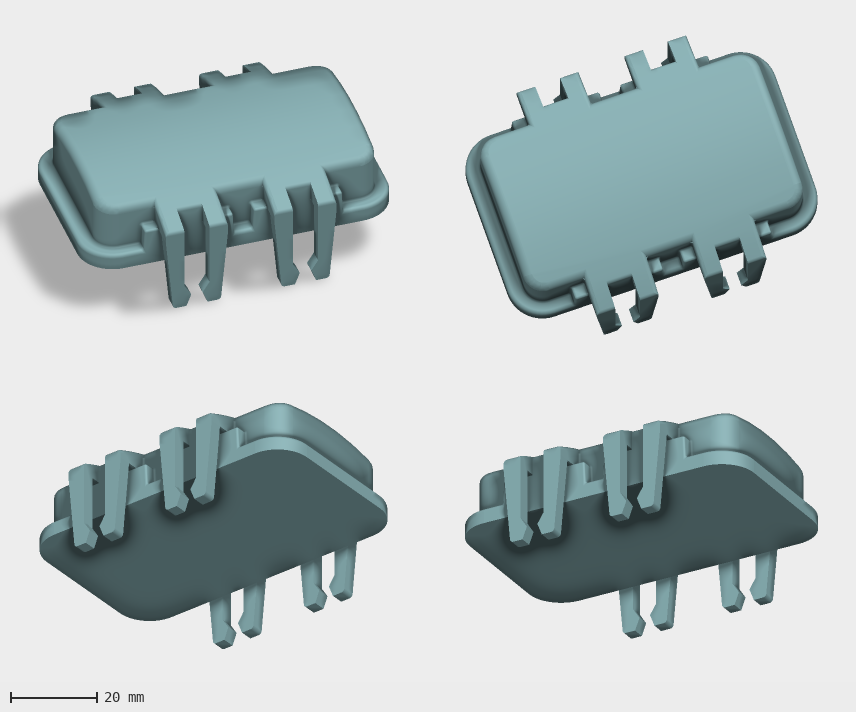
import cadquery as cq
import math

LENGTH = 75.7
FLANGE_WIDTH = 45.1
ARM_SPAN = 56.3
FLANGE_CORNER = 8.55
FLANGE_HEIGHT = 3.9
FLANGE_ROUND = 0.9

BODY_WIDTH = 38.75
BODY_LENGTH = 68.4
BODY_CORNER = 4.85
BODY_TOP_ROUND = 2.05
INNER_ROUND = 0.5

TOP_HEIGHT = 17.8
DOME_RADIUS = 68.9

BLOCK_HEIGHT = 9.45
BLOCK_NEAR_Y = 2.6
BLOCK_FAR_Y = 24.1
BLOCK_SLOPE = 0.05

ARM_Y = 13.25
ARM_WIDTH = 15.2
ARM_UNDERSIDE = 9.4
ARM_ROOT = 15.1
ARM_ROUND = 1.0
SLOT_WIDTH = 6.1

LEG_THICKNESS = 3.2
LEG_BOTTOM = -10.15
LEG_FOOT_SPAN = 11.65
HOOK_START = -4.5
HOOK_TIP = -7.1
HOOK_TIP_GAP = 2.8
FOOT_GAP = 5.15
FOOT_ROUND = 0.9

MARGIN = 0.1
HALF_FLANGE = FLANGE_WIDTH / 2
HALF_SPAN = ARM_SPAN / 2
HALF_BODY = BODY_WIDTH / 2
SIDES = (-1, 1)


def box(x_min, x_max, y_min, y_max, z_min, z_max):
    size = (x_max - x_min, y_max - y_min, z_max - z_min)
    return cq.Workplane("XY").box(*size, centered=False).translate((x_min, y_min, z_min))


def yz_prism(points, x_min, x_max):
    return cq.Workplane("YZ").polyline(points).close().extrude(x_max - x_min).translate((x_min, 0, 0))


def edges_within(shape, half_x, half_y, z_min, z_max):
    """Edges whose middle lies in a box centred on the Z axis."""
    return shape.edges(cq.selectors.BoxSelector((-half_x, -half_y, z_min), (half_x, half_y, z_max)))


dome = (
    cq.Workplane("XZ")
    .center(0, TOP_HEIGHT - DOME_RADIUS)
    .circle(DOME_RADIUS)
    .extrude(LENGTH / 2, both=True)
)


def domed(shape):
    """Shape trimmed to the part under the domed top."""
    return shape.intersect(dome)


def make_block():
    """Bar across the whole width whose ends are the blocks on the +Y half of the flange."""
    foot = FLANGE_HEIGHT - FLANGE_ROUND
    foot_spread = BLOCK_SLOPE * (BLOCK_HEIGHT - foot)
    outline = [
        (BLOCK_NEAR_Y - foot_spread, foot),
        (BLOCK_NEAR_Y, BLOCK_HEIGHT),
        (BLOCK_FAR_Y, BLOCK_HEIGHT),
        (BLOCK_FAR_Y + foot_spread, foot),
    ]
    bar = yz_prism(outline, -HALF_FLANGE, HALF_FLANGE)
    return bar.edges("not <Z").fillet(INNER_ROUND)


def make_skirt():
    """Rounded flange with its four blocks."""
    flange = (
        cq.Workplane("XY")
        .rect(FLANGE_WIDTH, LENGTH)
        .extrude(FLANGE_HEIGHT)
        .edges("|Z")
        .fillet(FLANGE_CORNER)
        .faces(">Z")
        .edges()
        .fillet(FLANGE_ROUND)
    )
    block = make_block()
    return flange.union(block).union(block.mirror("XZ"))


def make_body():
    """Round-cornered body under the dome."""
    blank = (
        cq.Workplane("XY")
        .rect(BODY_WIDTH, BODY_LENGTH)
        .extrude(TOP_HEIGHT)
        .edges("|Z")
        .fillet(BODY_CORNER)
    )
    return domed(blank).faces(">Z").edges().fillet(BODY_TOP_ROUND)


def make_shell():
    """Body on its skirt, with the inner corners between them rounded."""
    shell = make_body().union(make_skirt())
    foot_edges = edges_within(
        shell,
        HALF_FLANGE - FLANGE_ROUND - MARGIN,
        BODY_LENGTH / 2 + MARGIN,
        FLANGE_HEIGHT - MARGIN,
        FLANGE_HEIGHT + MARGIN,
    )
    block_end_edges = edges_within(
        shell,
        HALF_BODY + MARGIN,
        BODY_LENGTH / 2 - BODY_CORNER - MARGIN,
        FLANGE_HEIGHT + INNER_ROUND,
        BLOCK_HEIGHT - 2 * INNER_ROUND,
    )
    return foot_edges.add(block_end_edges).fillet(INNER_ROUND)


def make_slot_floor():
    """End wall of the slot in a +X arm, centred on Y = 0 and flush with the flange."""
    half_slot = SLOT_WIDTH / 2
    floor = domed(box(ARM_ROOT, HALF_FLANGE, -half_slot, half_slot, 0, TOP_HEIGHT))
    return floor.faces(">X").edges(">Z").fillet(ARM_ROUND)


def make_prong():
    """Half of a +X arm with its leg, on the +Y side of a slot centred on Y = 0."""
    inner_y = SLOT_WIDTH / 2
    outer_y = ARM_WIDTH / 2
    beam = domed(box(ARM_ROOT, HALF_SPAN, inner_y, outer_y, ARM_UNDERSIDE, TOP_HEIGHT))
    side_top_edge = beam.faces(">Y").edges(">Z")
    end_top_edge = beam.faces(">X").edges(">Z")
    beam = side_top_edge.add(end_top_edge).fillet(ARM_ROUND)
    leg_outline = [
        (inner_y, ARM_UNDERSIDE),
        (inner_y, HOOK_START),
        (HOOK_TIP_GAP / 2, HOOK_TIP),
        (FOOT_GAP / 2, LEG_BOTTOM),
        (LEG_FOOT_SPAN / 2, LEG_BOTTOM),
        (outer_y, ARM_UNDERSIDE),
    ]
    leg = yz_prism(leg_outline, HALF_SPAN - LEG_THICKNESS, HALF_SPAN)
    leg = leg.faces("<Z").edges(">Y").fillet(FOOT_ROUND)
    return beam.union(leg)


def cove_profile(plane):
    """Filler between two walls along the axes of the plane, with a concave round face."""
    r = INNER_ROUND
    to_arc_middle = r * (1 - math.sqrt(0.5))
    return (
        cq.Workplane(plane)
        .moveTo(0, 0)
        .lineTo(r, 0)
        .threePointArc((to_arc_middle, to_arc_middle), (0, r))
        .close()
    )


def make_arm_coves():
    """Coves in the corners of a +X arm's +Y side with the body and with the block top."""
    slope = math.asin(HALF_BODY / DOME_RADIUS)
    dome_at_wall = TOP_HEIGHT - DOME_RADIUS * (1 - math.cos(slope))
    top_round_drop = BODY_TOP_ROUND * math.tan((math.pi / 2 - slope) / 2)
    wall_cove_height = dome_at_wall - top_round_drop - BLOCK_HEIGHT
    block_cove_length = HALF_FLANGE - INNER_ROUND - HALF_BODY
    corner = (HALF_BODY, ARM_WIDTH / 2, BLOCK_HEIGHT)
    wall_cove = cove_profile("XY").extrude(wall_cove_height).translate(corner)
    block_cove = cove_profile("YZ").extrude(block_cove_length).translate(corner)
    return [wall_cove, block_cove]


result = make_shell()
prong_parts = [make_prong()] + make_arm_coves()
arm_parts = [make_slot_floor()] + prong_parts + [part.mirror("XZ") for part in prong_parts]
for side_y in SIDES:
    for turn in (0, 180):
        for part in arm_parts:
            placed = part.translate((0, side_y * ARM_Y, 0)).rotate((0, 0, 0), (0, 0, 1), turn)
            result = result.union(placed)